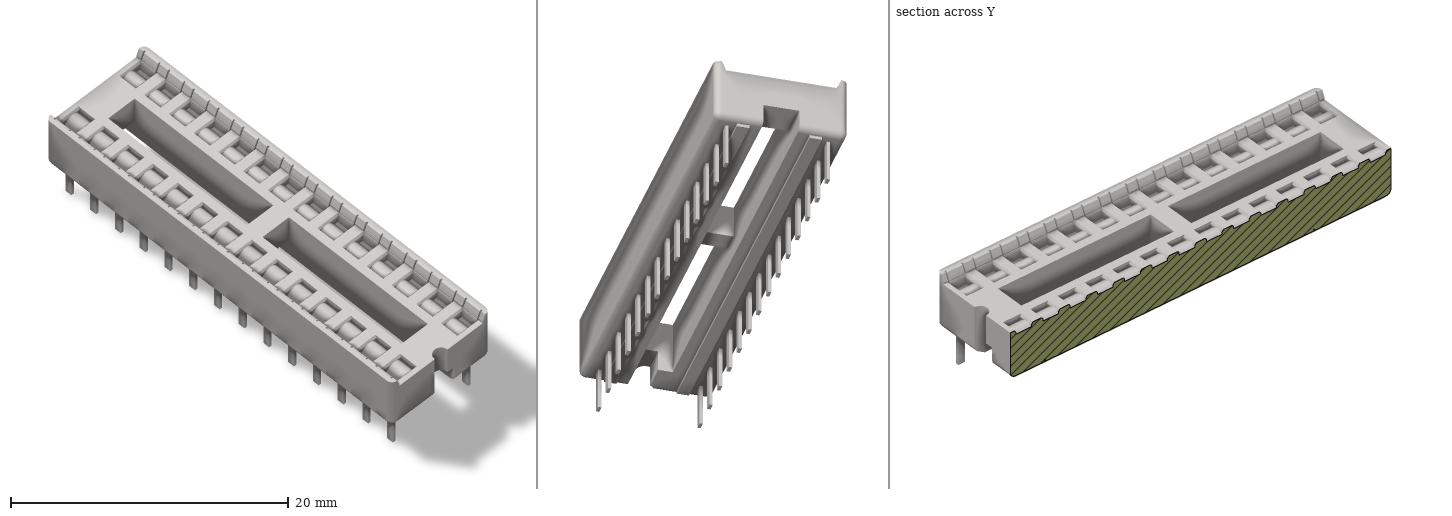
import cadquery as cq
import math


pins_per_row = 14
pitch = 2.54
row_spacing = 7.62

length = pins_per_row * pitch
width = 10.0
standoff = 0.25
deck_z = 4.35
lip_top_z = 5.1
corner_radius = 0.5
bottom_radius = 0.5

lip_flat = 0.52
lip_foot = 0.79
lip_step = 0.15
lip_foot_y = width / 2 - lip_foot

bar_width = 1.6
end_wall = 2.73
window_width = 2.68
window_length = (length - bar_width) / 2 - end_wall

tunnel_top_z = 1.85
key_inner_y = -0.24
notch_radius = 0.65

rail_y = 2.73
rail_width = 0.93
rail_length = length - 2 * corner_radius

mouth_width = 1.7
well_width = 1.42
gap_depth = 0.2

spring_crest_y = 2.84
spring_crest_z = deck_z - 0.15
spring_inner_radius = 0.77
spring_outer_radius = 0.7
spring_ramp_angle = 48
pocket_inner_y = spring_crest_y - spring_inner_radius
slot_inner_y = 3.72
slot_outer_y = 4.0
guide_bottom_y = 4.12
guide_bottom_z = 4.2
guide_top_y = 4.42
guide_top_z = 5.03
pocket_outer_y = 4.62

pin_width = 0.6
pin_thickness = 0.25
pin_tip_z = -3.0

pin_root_z = 1.0


def box(x_size, y_size, z_bottom, z_top, x=0.0, y=0.0):
    """Upright box centred on (x, y)."""
    block = cq.Workplane("XY").box(x_size, y_size, z_top - z_bottom, centered=(True, True, False))
    return block.translate((x, y, z_bottom))


def both_sides(shape):
    """The shape joined with its mirror image in the XZ plane."""
    return shape.union(shape.mirror("XZ"))


def lip_channel():
    """Trough removed between the lips; their inner faces slope above a short upright foot."""
    top_y = width / 2 - lip_flat
    step_z = deck_z + lip_step
    corners = [
        (-lip_foot_y, deck_z),
        (lip_foot_y, deck_z),
        (lip_foot_y, step_z),
        (top_y, lip_top_z),
        (-top_y, lip_top_z),
        (-lip_foot_y, step_z),
    ]
    return cq.Workplane("YZ").polyline(corners).close().extrude(length / 2, both=True)


def housing():
    body = box(length, width, standoff, lip_top_z)
    body = body.edges("|Z").fillet(corner_radius)
    body = body.faces("<Z").edges().fillet(bottom_radius)
    body = body.cut(lip_channel())

    window_x = (bar_width + window_length) / 2
    for x in (-window_x, window_x):
        body = body.cut(box(window_length, window_width, 0, lip_top_z, x))

    tunnel = box(length, window_width, 0, tunnel_top_z)
    key_width = window_width / 2 + key_inner_y
    key_y = key_inner_y - key_width / 2
    tunnel = tunnel.cut(box(end_wall, key_width, 0, tunnel_top_z, (length - end_wall) / 2, key_y))
    body = body.cut(tunnel)

    notch = cq.Workplane("XY").center(length / 2, 0).circle(notch_radius).extrude(lip_top_z)
    body = body.cut(notch)

    rail = box(rail_length, rail_width, 0, 2 * standoff, y=rail_y)
    rails = both_sides(rail).cut(box(2 * window_length + bar_width, window_width, 0, lip_top_z))
    return body.union(rails)


def well():
    """Open space over the spring, slot and guide of the +Y contact at X = 0."""
    angle = math.radians(spring_ramp_angle)
    ramp_y = spring_crest_y + spring_outer_radius * math.sin(angle)
    ramp_z = spring_crest_z - spring_outer_radius * (1 - math.cos(angle))
    slot_z = ramp_z - (slot_inner_y - ramp_y) * math.tan(angle)
    profile = (
        cq.Workplane("YZ")
        .moveTo(pocket_inner_y, lip_top_z)
        .lineTo(pocket_inner_y, spring_crest_z - spring_inner_radius)
        .radiusArc((spring_crest_y, spring_crest_z), spring_inner_radius)
        .radiusArc((ramp_y, ramp_z), spring_outer_radius)
        .lineTo(slot_inner_y, slot_z)
        .lineTo(slot_outer_y, slot_z)
        .lineTo(guide_bottom_y, guide_bottom_z)
        .lineTo(guide_top_y, guide_top_z)
        .lineTo(pocket_outer_y, lip_top_z)
        .close()
    )
    return profile.extrude(well_width / 2, both=True)


def side_gap():
    """Gap beside the +X side of a well; its outer wall leans in below the deck."""
    well_x = well_width / 2
    mouth_x = mouth_width / 2
    corners = [(well_x, deck_z - gap_depth), (mouth_x, deck_z), (mouth_x, lip_top_z), (well_x, lip_top_z)]
    gap = cq.Workplane("XZ").polyline(corners).close().extrude(pocket_inner_y - pocket_outer_y)
    return gap.translate((0, pocket_inner_y, 0))


def pocket():
    """Complete opening for the +Y contact at X = 0."""
    gap = side_gap()
    return well().union(gap).union(gap.mirror("YZ"))


def pin():
    """Solder pin of the +Y contact at X = 0."""
    return box(pin_width, pin_thickness, pin_tip_z, pin_root_z, y=row_spacing / 2)


def contact_row(shape):
    """Copies of a +Y row shape at every contact of both rows."""
    first_x = -(pins_per_row - 1) * pitch / 2
    mirrored = shape.mirror("XZ")
    copies = cq.Workplane("XY")
    for i in range(pins_per_row):
        offset = (first_x + i * pitch, 0, 0)
        copies = copies.add(shape.translate(offset)).add(mirrored.translate(offset))
    return cq.Workplane(cq.Compound.makeCompound(copies.vals()))


result = housing().cut(contact_row(pocket())).union(contact_row(pin()))